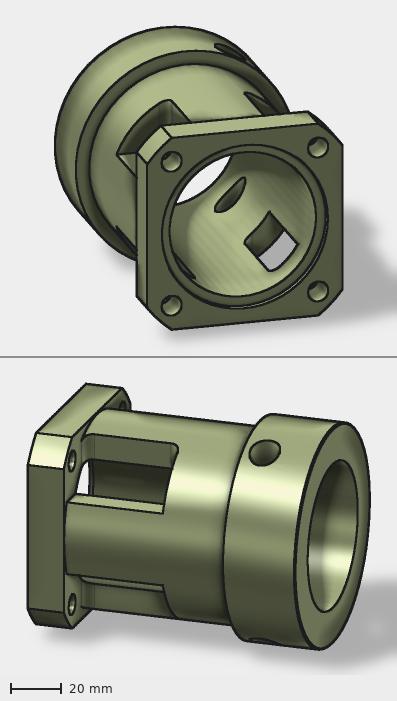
import cadquery as cq

TOTAL_LENGTH = 113.0
HEAD_LENGTH = 30.0
FLANGE_THICKNESS = 15.0
FLANGE_START = TOTAL_LENGTH - FLANGE_THICKNESS

HEAD_DIAMETER = 90.0
TUBE_DIAMETER = 79.0
BORE_DIAMETER = 60.0
RECESS_DIAMETER = 68.0
RECESS_DEPTH = 3.0
HEAD_CHAMFER = 0.5

FLANGE_SIDE = 80.0
FLANGE_CORNER_DIAMETER = 100.0
BOLT_HOLE_DIAMETER = 8.2
BOLT_SPACING = 60.0

WINDOW_LENGTH = 40.0
WINDOW_START = FLANGE_START - WINDOW_LENGTH
WINDOW_OFFSET = 15.0
WINDOW_CORNER_RADIUS = 4.0

CROSS_HOLE_DIAMETER = 12.0
CROSS_HOLE_X = 21.0
CROSS_HOLE_Y = 20.8


def disc(diameter, start, length):
    """Cylinder along the part axis, beginning at X = start."""
    return cq.Workplane("YZ", origin=(start, 0, 0)).circle(diameter / 2).extrude(length)


def head():
    return disc(HEAD_DIAMETER, 0, HEAD_LENGTH).faces("<X").chamfer(HEAD_CHAMFER)


def tube():
    return disc(TUBE_DIAMETER, HEAD_LENGTH, FLANGE_START - HEAD_LENGTH)


def bore():
    recess = disc(RECESS_DIAMETER, TOTAL_LENGTH - RECESS_DEPTH, RECESS_DEPTH)
    return disc(BORE_DIAMETER, 0, TOTAL_LENGTH).union(recess)


def flange():
    square = (
        cq.Workplane("YZ", origin=(FLANGE_START, 0, 0))
        .rect(FLANGE_SIDE, FLANGE_SIDE)
        .extrude(FLANGE_THICKNESS)
    )
    return square.intersect(disc(FLANGE_CORNER_DIAMETER, FLANGE_START, FLANGE_THICKNESS))


def bolt_holes():
    return (
        cq.Workplane("YZ", origin=(FLANGE_START, 0, 0))
        .rect(BOLT_SPACING, BOLT_SPACING, forConstruction=True)
        .vertices()
        .circle(BOLT_HOLE_DIAMETER / 2)
        .extrude(FLANGE_THICKNESS)
    )


def window(y_side, z_side):
    """Cutter for one quarter; its two Z-parallel edges nearest the axis are rounded."""
    reach = TUBE_DIAMETER / 2
    depth = reach - WINDOW_OFFSET
    middle = WINDOW_OFFSET + depth / 2
    block = cq.Workplane("XY").box(WINDOW_LENGTH, depth, depth)
    cutter = block.faces("<Y").edges("|Z").fillet(WINDOW_CORNER_RADIUS)
    cutter = cutter.translate((WINDOW_START + WINDOW_LENGTH / 2, middle, middle))
    if y_side < 0:
        cutter = cutter.mirror("XZ")
    if z_side < 0:
        cutter = cutter.mirror("XY")
    return cutter


def cross_hole():
    return (
        cq.Workplane("XY")
        .center(CROSS_HOLE_X, CROSS_HOLE_Y)
        .circle(CROSS_HOLE_DIAMETER / 2)
        .extrude(HEAD_DIAMETER / 2, both=True)
    )


body = head().union(tube()).union(flange())
body = body.cut(bore())
body = body.cut(bolt_holes())
for y_side in (-1, 1):
    for z_side in (-1, 1):
        body = body.cut(window(y_side, z_side))
result = body.cut(cross_hole())